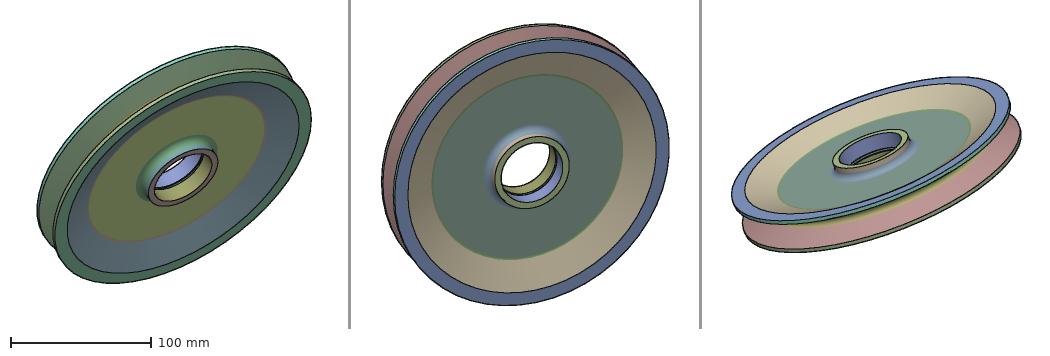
import cadquery as cq
import math

width = 26.0
outer_radius = 105.0
rim_land_width = 3.0
flank_angle = math.radians(22)
v_root_fillet = 3.2
dish_outer_radius = 95.0
dish_depth = 9.0
dish_fillet = 4.5
hub_radius = 57.0 / 2
hub_fillet = 5.0
bore_radius = 47.0 / 2
ring_groove_radius = 49.5 / 2
ring_groove_width = 2.0

half_width = width / 2
web_half = half_width - dish_depth
flank_slope = math.tan(flank_angle)


def revolve_about_x(profile):
    """Revolve a profile drawn as (x, radius) in the XY plane."""
    return profile.revolve(360, (0, 0, 0), (1, 0, 0))


def make_disc():
    blank = cq.Workplane("YZ").circle(outer_radius).circle(bore_radius)
    return blank.extrude(half_width, both=True)


def make_v_groove():
    """V-shaped ring with a round root tangent to both flanks."""
    mouth_half = half_width - rim_land_width
    tangent_x = v_root_fillet * math.cos(flank_angle)
    tangent_r = outer_radius - (mouth_half - tangent_x) / flank_slope
    v_floor_radius = tangent_r - v_root_fillet * (1 - math.sin(flank_angle))
    profile = (
        cq.Workplane("XY")
        .moveTo(-mouth_half, outer_radius)
        .lineTo(-tangent_x, tangent_r)
        .threePointArc((0, v_floor_radius), (tangent_x, tangent_r))
        .lineTo(mouth_half, outer_radius)
        .close()
    )
    return revolve_about_x(profile)


def make_dish():
    """Ring recess on the -X side, between the hub and the rim."""
    dish_floor_radius = dish_outer_radius - dish_depth / flank_slope
    profile = (
        cq.Workplane("XY")
        .moveTo(-half_width, hub_radius)
        .lineTo(-web_half, hub_radius)
        .lineTo(-web_half, dish_floor_radius)
        .lineTo(-half_width, dish_outer_radius)
        .close()
    )
    dish = revolve_about_x(profile)
    inner_edge = cq.selectors.RadiusNthSelector(0)
    outer_edge = cq.selectors.RadiusNthSelector(-1)
    dish = dish.faces(">X").edges(inner_edge).fillet(hub_fillet)
    return dish.faces(">X").edges(outer_edge).fillet(dish_fillet)


def make_ring_groove():
    """Shallow retaining-ring groove halfway along the bore."""
    ring = cq.Workplane("YZ").circle(ring_groove_radius)
    return ring.extrude(ring_groove_width / 2, both=True)


dish = make_dish()
result = (
    make_disc()
    .cut(make_v_groove())
    .cut(dish)
    .cut(dish.mirror("YZ"))
    .cut(make_ring_groove())
)